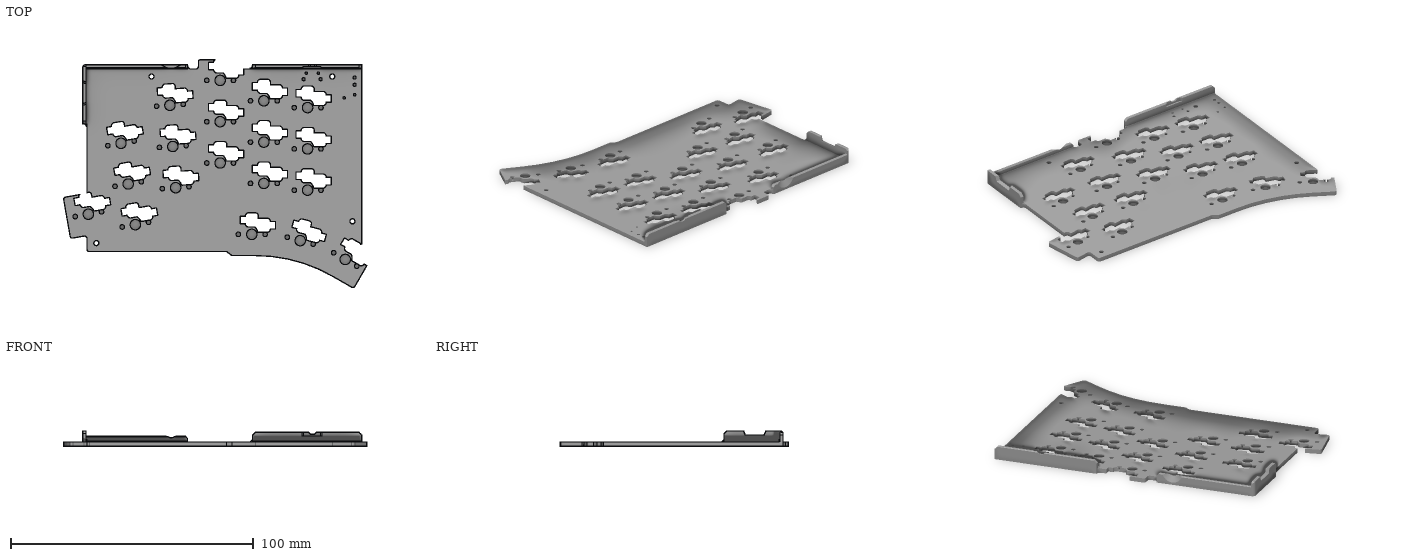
import cadquery as cq
import math

plate_thickness = 1.85
plate_width = 113.2
plate_top = 75.2
corner_radius = 1.0
arc_radius = 63.5
arc_start_x = 69.4
thumb_edge_y = -1.65
thumb_step_start_x = 57.5
thumb_step_end_x = 59.7
thumb_tilt = -30
middle_tab_depth = 1.5

through_height = 20

key_pitch_x = 18
key_pitch_y = 17
cell_half_width = key_pitch_x / 2
cell_half_height = 8.6
rows_per_column = 3

centre_hole_diameter = 4.3
peg_hole_diameter = 1.9
peg_offset = 5.5
hole_depth = 1.25

pinky_column = (17.0, 27.87, 10)
ring_column = (35.35, 43.3, 4)
middle_column = (54.84, 53.5, 0)
index_column = (middle_column[0] + key_pitch_x, 45.1, 0)
inner_column = (index_column[0] + key_pitch_x, 42.3, 0)
columns = [pinky_column, ring_column, middle_column, index_column, inner_column]

outer_key = (0.6, 15.43, pinky_column[2])
last_thumb_key = (106.34, -3.19, thumb_tilt)
thumb_keys = [(67.85, 7.13, 0), (87.8, 4.54, thumb_tilt / 2), last_thumb_key]

left_contact = (0.0, 5.95)
right_contact = (5.0, 3.75)
lobe_half_height = 2.85
lobe_half_width = 2.65
lobe_corner = 1.0
pad_half_height = 1.5
pad_reach = 4.7
socket_sweep_start_x = 1.2
socket_sweep_end_x = 2.5
socket_sweep_radius = 4.0

mounting_hole_diameter = 2.0
mounting_holes = [(26.58, 72.1), (101.0, 72.1), (3.9, 3.54), (109.3, 12.5)]
large_pin_diameter = 1.3
large_pin_holes = [(89.2, 71.0), (96.2, 71.0), (110.2, 71.65), (110.2, 68.7)]
small_pin_diameter = 1.0
small_pin_holes = [(90.3, 73.5), (95.3, 73.5), (110.2, 64.6), (105.9, 63.3)]

wall_thickness = 1.4
wall_outer_y = 77.0
wall_outer_x = -1.73
wall_corner_radius = 1.3
web_radius = 1.5
foot_size = 0.4
end_foot_size = 0.9
top_bevel = 0.25

west_wall_height = 6.39
west_wall_end_y = 52.6
west_end_bevel = 1.2
west_corner_bevel = 0.8
west_notch_top = (60.7, 69.9)
west_notch_bottom = (61.4, 69.1)
west_notch_flare = 0.5
west_notch_inner_z = 4.7
west_notch_outer_z = 4.3

left_wall_height = 4.15
left_wall_end_x = 41.5
left_end_bevel = 1.0

right_wall_height = 5.88
right_wall_start_x = 68.1
right_end_bevel = 1.3

plug_recess_x = (88.55, 96.7)
plug_recess_z = 4.2
plug_recess_depth = 0.7
plug_recess_taper = 0.6
plug_notch_centre_x = 92.9
plug_notch_top_width = 3.4
plug_notch_bottom_width = 1.7
plug_notch_z = 5.05

jack_notch_x = 34.65
jack_outer_diameter = 9.0
jack_inner_diameter = 3.9
jack_axis_z = 5.5


def to_plate(key, x, y):
    """Turn a point in a key's own axes into plate coordinates."""
    key_x, key_y, tilt = key
    angle = math.radians(tilt)
    return (
        key_x + x * math.cos(angle) - y * math.sin(angle),
        key_y + x * math.sin(angle) + y * math.cos(angle),
    )


def all_keys():
    """X, Y and tilt of every key."""
    keys = [outer_key] + thumb_keys
    for column in columns:
        for row in range(rows_per_column):
            offset = (row - (rows_per_column - 1) / 2) * key_pitch_y
            keys.append((*to_plate(column, 0, offset), column[2]))
    return keys


def make_plate():
    """Main plate with the outer-key tab, the middle-key tab and the curved thumb edge."""
    sweep = math.radians(-thumb_tilt)
    arc_middle = (
        arc_start_x + arc_radius * math.sin(sweep / 2),
        thumb_edge_y - arc_radius * (1 - math.cos(sweep / 2)),
    )
    arc_end = (
        arc_start_x + arc_radius * math.sin(sweep),
        thumb_edge_y - arc_radius * (1 - math.cos(sweep)),
    )
    thumb_corner = to_plate(last_thumb_key, cell_half_width, -cell_half_height)
    thumb_tip = to_plate(last_thumb_key, cell_half_width, right_contact[1])
    lobe_top = left_contact[1] + lobe_half_height
    thumb_lobe_corner = to_plate(last_thumb_key, lobe_half_width, lobe_top)
    middle_x = middle_column[0]
    middle_y = middle_column[1] + key_pitch_y
    tab_left = middle_x - cell_half_width
    tab_right = middle_x + cell_half_width
    tab_top = middle_y + cell_half_height
    tab_floor = plate_top - middle_tab_depth
    outer_top_left = to_plate(outer_key, -cell_half_width, cell_half_height)
    outer_bottom_left = to_plate(outer_key, -cell_half_width, -cell_half_height)
    slope = math.tan(math.radians(outer_key[2]))
    outer_top_join = (0, outer_top_left[1] - outer_top_left[0] * slope)
    outer_bottom_join = (0, outer_bottom_left[1] - outer_bottom_left[0] * slope)

    plate = (
        cq.Workplane("XY")
        .moveTo(0, 0)
        .lineTo(thumb_step_start_x, 0)
        .lineTo(thumb_step_end_x, thumb_edge_y)
        .lineTo(arc_start_x, thumb_edge_y)
        .threePointArc(arc_middle, arc_end)
        .lineTo(*thumb_corner)
        .lineTo(*thumb_tip)
        .lineTo(*to_plate(last_thumb_key, *right_contact))
        .lineTo(*to_plate(last_thumb_key, *left_contact))
        .lineTo(*thumb_lobe_corner)
        .lineTo(plate_width, thumb_lobe_corner[1])
        .lineTo(plate_width, plate_top)
        .lineTo(tab_right, plate_top)
        .lineTo(tab_right, tab_floor)
        .lineTo(middle_x, tab_floor)
        .lineTo(middle_x, tab_top)
        .lineTo(tab_left, tab_top)
        .lineTo(tab_left, plate_top)
        .lineTo(0, plate_top)
        .lineTo(*outer_top_join)
        .lineTo(*outer_top_left)
        .lineTo(*outer_bottom_left)
        .lineTo(*outer_bottom_join)
        .close()
        .extrude(plate_thickness)
    )
    rounded_corners = [
        (0, 0),
        thumb_corner,
        (tab_right, plate_top),
        (tab_left, tab_top),
        (tab_left, plate_top),
        outer_top_left,
        outer_bottom_left,
        outer_bottom_join,
    ]
    for x, y in rounded_corners:
        nearest = cq.selectors.NearestToPointSelector((x, y, plate_thickness / 2))
        plate = plate.edges("|Z").edges(nearest).fillet(corner_radius)
    return plate


def bevel_profile(start, end, height, start_bevel, end_bevel):
    """Closed outline of a wall seen face-on, with bevelled upper corners."""
    points = [(start, 0), (end, 0), (end, height - end_bevel), (end - end_bevel, height)]
    points += [(start + start_bevel, height), (start, height - start_bevel)]
    return [p for i, p in enumerate(points) if p not in points[:i]]


def north_wall(start_x, end_x, height, start_bevel, end_bevel):
    """Wall along the +Y edge; the inner face has a foot and both top edges are bevelled."""
    inner_y = wall_outer_y - wall_thickness
    section = [
        (wall_outer_y, 0),
        (wall_outer_y, height - top_bevel),
        (wall_outer_y - top_bevel, height),
        (inner_y + top_bevel, height),
        (inner_y, height - top_bevel),
        (inner_y, plate_thickness + foot_size),
        (inner_y - foot_size, plate_thickness),
        (inner_y - foot_size, 0),
    ]
    wall = cq.Workplane("YZ", origin=(start_x, 0, 0)).polyline(section).close().extrude(end_x - start_x)
    face = (
        cq.Workplane("XZ")
        .polyline(bevel_profile(start_x, end_x, height, start_bevel, end_bevel))
        .close()
        .extrude(-2 * wall_outer_y)
    )
    return wall.intersect(face)


def west_wall():
    """Wall along the -X edge, with a wide notch whose floor falls outwards."""
    inner_x = wall_outer_x + wall_thickness
    section = [
        (wall_outer_x, 0),
        (wall_outer_x, west_wall_height),
        (inner_x, west_wall_height),
        (inner_x, plate_thickness),
        (0, plate_thickness),
        (0, 0),
    ]
    length = wall_outer_y - west_wall_end_y
    wall = cq.Workplane("XZ", origin=(0, wall_outer_y, 0)).polyline(section).close().extrude(length)
    outline = bevel_profile(
        west_wall_end_y, wall_outer_y, west_wall_height, west_end_bevel, west_corner_bevel
    )
    face = cq.Workplane("YZ").polyline(outline).close().extrude(2 * wall_thickness, both=True)

    def notch_outline(x, floor_z, flare):
        return cq.Wire.makePolygon(
            [
                cq.Vector(x, west_notch_top[0] - flare, west_wall_height),
                cq.Vector(x, west_notch_bottom[0] - flare, floor_z),
                cq.Vector(x, west_notch_bottom[1] + flare, floor_z),
                cq.Vector(x, west_notch_top[1] + flare, west_wall_height),
            ],
            close=True,
        )

    outer_outline = notch_outline(wall_outer_x, west_notch_outer_z, west_notch_flare)
    inner_outline = notch_outline(inner_x, west_notch_inner_z, 0)
    notch = cq.Solid.makeLoft([outer_outline, inner_outline], True)
    return wall.intersect(face).cut(cq.Workplane(notch))


def round_wall_corner(wall):
    """Round the vertical outer edge where the left and west walls meet."""
    corner = cq.selectors.NearestToPointSelector((wall_outer_x, wall_outer_y, wall_thickness))
    return wall.edges("|Z").edges(corner).fillet(wall_corner_radius)


def wall_end_web(corner_x, corner_y, side_x, side_y):
    """Concave plate corner beside a wall's end; side_x and side_y say which way it spreads."""
    corner = cq.Vector(corner_x, corner_y)
    along_x = corner + cq.Vector(side_x * web_radius, 0)
    along_y = corner + cq.Vector(0, side_y * web_radius)
    bulge = web_radius * (1 - math.sqrt(0.5))
    arc_middle = corner + cq.Vector(side_x * bulge, side_y * bulge)
    return (
        cq.Workplane("XY")
        .moveTo(corner.x, corner.y)
        .lineTo(along_x.x, along_x.y)
        .threePointArc(arc_middle.toTuple()[:2], (along_y.x, along_y.y))
        .close()
        .extrude(plate_thickness)
    )


def wall_end_foot(corner_x, corner_y, turn):
    """Small ramp where a wall's end meets the plate, running down along the turned X axis."""
    return (
        cq.Workplane("XZ")
        .polyline([(0, 0), (end_foot_size, 0), (0, end_foot_size)])
        .close()
        .extrude(foot_size)
        .rotate((0, 0, 0), (0, 0, 1), turn)
        .translate((corner_x, corner_y, plate_thickness))
    )


def cut_plug_notch(part):
    """Recess inside the right wall, with a small tapered notch through the rest of it."""
    inner_y = wall_outer_y - wall_thickness
    half_mouth = (plug_recess_x[1] - plug_recess_x[0]) / 2
    half_floor = half_mouth - plug_recess_taper
    recess = (
        cq.Workplane("XY", origin=((plug_recess_x[0] + plug_recess_x[1]) / 2, inner_y, plug_recess_z))
        .moveTo(-half_mouth, 0)
        .lineTo(half_mouth, 0)
        .lineTo(half_floor, plug_recess_depth)
        .lineTo(-half_floor, plug_recess_depth)
        .close()
        .extrude(through_height)
    )
    notch = (
        cq.Workplane("XZ", origin=(plug_notch_centre_x, inner_y, 0))
        .moveTo(-plug_notch_bottom_width / 2, plug_notch_z)
        .lineTo(plug_notch_bottom_width / 2, plug_notch_z)
        .lineTo(plug_notch_top_width / 2, right_wall_height)
        .lineTo(-plug_notch_top_width / 2, right_wall_height)
        .close()
        .extrude(-wall_thickness)
    )
    return part.cut(recess).cut(notch)


def cut_jack_notch(part):
    """Shallow conical dip across the top of the left wall, wider on the outside."""
    cone = cq.Solid.makeCone(
        jack_outer_diameter / 2,
        jack_inner_diameter / 2,
        wall_thickness,
        cq.Vector(jack_notch_x, wall_outer_y, jack_axis_z),
        cq.Vector(0, -1, 0),
    )
    return part.cut(cq.Workplane(cone))


def socket_opening():
    """Two rounded lobes around the contacts, each with a solder-pad slot at its outer side."""
    left_x, left_y = left_contact
    right_x, right_y = right_contact
    top = left_y + lobe_half_height
    bottom = left_y - lobe_half_height
    right_top = right_y + lobe_half_height
    right_bottom = right_y - lobe_half_height
    lobe_left = left_x - lobe_half_width
    lobe_right = right_x + lobe_half_width
    neck = left_x + lobe_half_width
    lobe_arc = lobe_half_height / 2
    return (
        cq.Workplane("XY")
        .moveTo(left_x - pad_reach, left_y + pad_half_height)
        .lineTo(lobe_left, left_y + pad_half_height)
        .radiusArc((lobe_left + lobe_corner, top), lobe_arc)
        .lineTo(neck - lobe_corner, top)
        .radiusArc((neck, top - lobe_corner), lobe_corner)
        .lineTo(neck, right_top)
        .lineTo(lobe_right - lobe_corner, right_top)
        .radiusArc((lobe_right, right_y + pad_half_height), lobe_arc)
        .lineTo(right_x + pad_reach, right_y + pad_half_height)
        .lineTo(right_x + pad_reach, right_y - pad_half_height)
        .lineTo(lobe_right, right_y - pad_half_height)
        .radiusArc((lobe_right - lobe_corner, right_bottom), lobe_arc)
        .lineTo(socket_sweep_end_x, right_bottom)
        .radiusArc((socket_sweep_start_x, bottom), -socket_sweep_radius)
        .lineTo(lobe_left + lobe_corner, bottom)
        .radiusArc((lobe_left, left_y - pad_half_height), lobe_arc)
        .lineTo(left_x - pad_reach, left_y - pad_half_height)
        .close()
        .extrude(through_height, both=True)
    )


def key_cutter():
    """Everything one key removes: socket opening, centre-post hole and two peg holes."""
    floor_z = plate_thickness - hole_depth
    floor = cq.Workplane("XY", origin=(0, 0, floor_z))
    centre = floor.circle(centre_hole_diameter / 2).extrude(through_height)
    pegs = floor.pushPoints([(-peg_offset, 0), (peg_offset, 0)]).circle(peg_hole_diameter / 2)
    return socket_opening().union(centre).union(pegs.extrude(through_height))


def cut_keys(part):
    """Cut the openings of every key."""
    cutter = key_cutter().val()
    for x, y, tilt in all_keys():
        placed = cutter.moved(cq.Location(cq.Vector(x, y, 0), cq.Vector(0, 0, 1), tilt))
        part = part.cut(cq.Workplane(placed))
    return part


def cut_round_holes(part, places, diameter, floor_z):
    """Drill round holes from above down to floor_z."""
    holes = cq.Workplane("XY", origin=(0, 0, floor_z)).pushPoints(places).circle(diameter / 2)
    return part.cut(holes.extrude(through_height))


result = make_plate()
left_wall = north_wall(wall_outer_x, left_wall_end_x, left_wall_height, 0, left_end_bevel)
walls = round_wall_corner(cut_jack_notch(left_wall)).union(round_wall_corner(west_wall()))
right_wall = north_wall(right_wall_start_x, plate_width, right_wall_height, right_end_bevel, right_end_bevel)
result = result.union(walls).union(cut_plug_notch(right_wall))
result = result.union(wall_end_web(left_wall_end_x, plate_top, 1, 1))
result = result.union(wall_end_web(right_wall_start_x, plate_top, -1, 1))
result = result.union(wall_end_web(0, west_wall_end_y, -1, -1))
result = result.union(wall_end_foot(right_wall_start_x, plate_top, 180))
result = result.union(wall_end_foot(0, west_wall_end_y, -90))
result = cut_keys(result)
pin_floor = plate_thickness - hole_depth
result = cut_round_holes(result, mounting_holes, mounting_hole_diameter, 0)
result = cut_round_holes(result, large_pin_holes, large_pin_diameter, pin_floor)
result = cut_round_holes(result, small_pin_holes, small_pin_diameter, pin_floor)